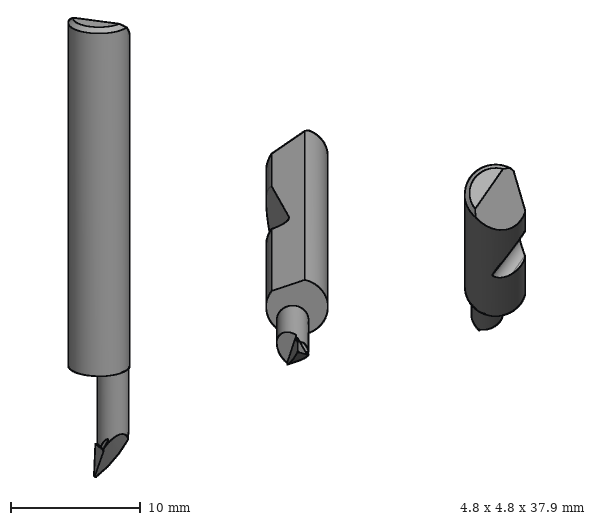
import cadquery as cq
import math

total_length = 37.88
shank_radius = 2.4
shank_bottom = 9.28
top_chamfer = 0.38
slope_start_y = -0.6
flat_start_angle = 178.0
flat_end_angle = 108.0

notch_top = 29.6
notch_floor_y = 1.15
notch_floor_z = 22.1
notch_bottom = 20.9
notch_radius = 1.02

neck_radius = 1.23
neck_x = shank_radius - neck_radius
rake_y = 0.08
rake_top = 3.83

tip_x = -0.3
tip_corner_x = -0.45
tip_corner_z = 0.15
head_top_x = -0.35
head_top = 2.75
edge_end_z = 3.5
edge_bow = 0.2
clearance_rise = 1.4
runout_width = 0.2
runout_rise = 0.3
corner_x = 0.7
corner_z = 2.7
facet_upper_x = 0.55
facet_depth = 0.55
facet_run = (0.53, -0.245, 1.02)
outside = 3 * shank_radius


def make_shank():
    shank = cq.Workplane("XY").workplane(offset=shank_bottom).circle(shank_radius)
    shank = shank.extrude(total_length - shank_bottom).faces(">Z").chamfer(top_chamfer)
    top_slope = (
        cq.Workplane("YZ")
        .polyline([
            (slope_start_y, total_length),
            (slope_start_y + outside, total_length - outside),
            (slope_start_y + outside, total_length),
        ])
        .close()
        .extrude(shank_radius, both=True)
    )
    return shank.cut(top_slope).cut(make_flat()).cut(make_notch())


def make_flat():
    half_chord = math.radians((flat_start_angle - flat_end_angle) / 2)
    distance = shank_radius * math.cos(half_chord)
    middle_angle = (flat_start_angle + flat_end_angle) / 2
    return (
        cq.Workplane("XY")
        .box(outside, outside, total_length, centered=(False, True, False))
        .translate((distance, 0, 0))
        .rotate((0, 0, 0), (0, 0, 1), middle_angle)
    )


def make_notch():
    """Long ramp down to the floor, then a rounded step back to the surface."""
    return (
        cq.Workplane("YZ")
        .moveTo(shank_radius, notch_top)
        .lineTo(notch_floor_y, notch_floor_z)
        .radiusArc((notch_floor_y + notch_radius, notch_bottom), -notch_radius)
        .lineTo(shank_radius, notch_bottom)
        .close()
        .extrude(shank_radius, both=True)
    )


def make_neck():
    neck = cq.Workplane("XY").center(neck_x, 0).circle(neck_radius).extrude(shank_bottom)
    rake_cut = (
        cq.Workplane("YZ")
        .polyline([
            (rake_y, 0),
            (rake_y, rake_top),
            (rake_y + outside, rake_top + outside),
            (outside, 0),
        ])
        .close()
        .extrude(outside, both=True)
    )
    return neck.cut(rake_cut)


def relief_y(x):
    """Y on the top edge of the side relief, which runs at 45 degrees in plan."""
    return rake_y + head_top_x - x


def make_side_relief():
    """Remove the neck outside the side relief, with a sloping run-out on top."""
    section = cq.Plane(origin=(head_top_x, rake_y, 0), xDir=(-1, -1, 0), normal=(-1, 1, 0))
    return (
        cq.Workplane(section)
        .polyline([
            (0, 0),
            (0, head_top),
            (runout_width, head_top + runout_rise),
            (outside, head_top + runout_rise),
            (outside, 0),
        ])
        .close()
        .extrude(outside, both=True)
    )


def make_head():
    """Pointed blade behind the rake face, its side relief running at 45 degrees."""
    blade = (
        cq.Workplane("XZ", origin=(0, rake_y, 0))
        .polyline([
            (tip_x, 0),
            (tip_corner_x, tip_corner_z),
            (head_top_x, head_top),
            (neck_x, head_top),
            (neck_x, 0),
        ])
        .close()
        .extrude(neck_radius)
    )
    corner_lean = (head_top_x - tip_corner_x) / (head_top - tip_corner_z)
    base_x = head_top_x - corner_lean * head_top
    lower = (
        cq.Workplane("XY")
        .polyline([
            (base_x, rake_y),
            (base_x + outside, rake_y - outside),
            (base_x + outside, rake_y),
        ])
        .close()
    )
    lean = cq.Vector(corner_lean * head_top, 0, head_top)
    relief_body = cq.Solid.extrudeLinear(lower.val(), [], lean)
    return blade.intersect(cq.Workplane(relief_body))


def make_clearance():
    """Space below the curved cutting edge, swept upward behind the rake face."""
    chord_x = shank_radius - tip_x
    chord_length = math.hypot(chord_x, edge_end_z)
    middle_x = (tip_x + shank_radius) / 2 + edge_bow * edge_end_z / chord_length
    middle_z = edge_end_z / 2 - edge_bow * chord_x / chord_length
    below = (
        cq.Workplane("XZ", origin=(0, rake_y, 0))
        .moveTo(tip_x, 0)
        .threePointArc((middle_x, middle_z), (shank_radius, edge_end_z))
        .lineTo(outside, edge_end_z)
        .lineTo(outside, -outside)
        .lineTo(-outside, -outside)
        .lineTo(-outside, 0)
        .close()
    )
    sweep = cq.Vector(0, -outside, clearance_rise * outside)
    return cq.Workplane(cq.Solid.extrudeLinear(below.val(), [], sweep))


def make_corner_relief():
    """Narrow facet between the side relief, the clearance face and the neck."""
    corner = cq.Vector(corner_x, relief_y(corner_x), corner_z)
    upper_y = -math.sqrt(neck_radius**2 - (facet_upper_x - neck_x) ** 2)
    upper = cq.Vector(facet_upper_x, upper_y, head_top + runout_rise)
    outer = corner - cq.Vector(0, facet_depth, 0)
    triangle = cq.Wire.makePolygon([corner, upper, outer], close=True)
    return cq.Workplane(cq.Solid.extrudeLinear(triangle, [], cq.Vector(*facet_run)))


cutter = make_neck().cut(make_side_relief()).union(make_head())
cutter = cutter.cut(make_clearance()).cut(make_corner_relief())
result = make_shank().union(cutter)